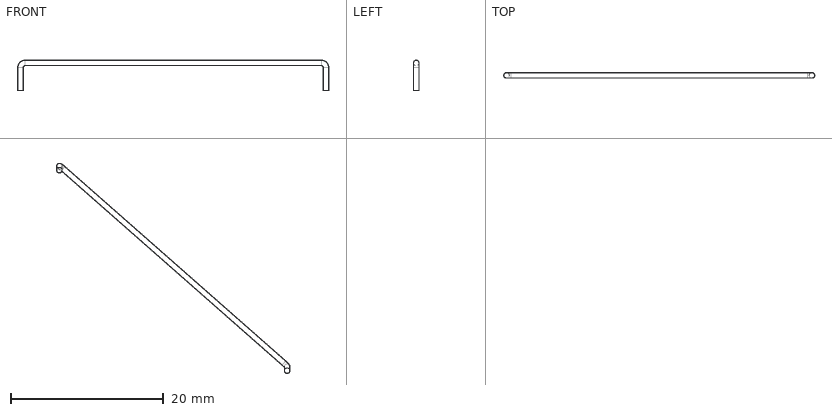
import cadquery as cq

length = 40.75
height = 4.0
wire_diameter = 0.75
bend_radius = 0.6

wire_radius = wire_diameter / 2
leg_x = length / 2 - wire_radius
bar_z = height - wire_radius
bend_start_z = bar_z - bend_radius
bend_end_x = leg_x - bend_radius

centreline = (
    cq.Workplane("XZ")
    .moveTo(-leg_x, 0)
    .lineTo(-leg_x, bend_start_z)
    .radiusArc((-bend_end_x, bar_z), bend_radius)
    .lineTo(bend_end_x, bar_z)
    .radiusArc((leg_x, bend_start_z), bend_radius)
    .lineTo(leg_x, 0)
)

result = (
    cq.Workplane("XY")
    .center(-leg_x, 0)
    .circle(wire_radius)
    .sweep(centreline)
)